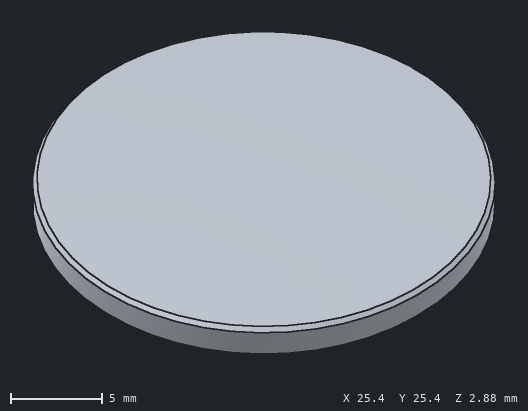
import cadquery as cq
import math

diameter = 25.4
center_thickness = 2.88
dome_radius = 92.0
bevel = 0.25

rim_radius = diameter / 2
face_radius = rim_radius - bevel


def dome_height(distance):
    """Height of the dome above the flat face, at a distance from the axis."""
    drop = dome_radius - math.sqrt(dome_radius**2 - distance**2)
    return center_thickness - drop


dome_edge_height = dome_height(face_radius)
rim_top_height = dome_edge_height - bevel

half_section = (
    cq.Workplane("YZ")
    .moveTo(0, 0)
    .lineTo(-face_radius, 0)
    .lineTo(-rim_radius, bevel)
    .lineTo(-rim_radius, rim_top_height)
    .lineTo(-face_radius, dome_edge_height)
    .threePointArc((-face_radius / 2, dome_height(face_radius / 2)), (0, center_thickness))
    .close()
)

result = half_section.revolve(360, (0, 0, 0), (0, 1, 0))